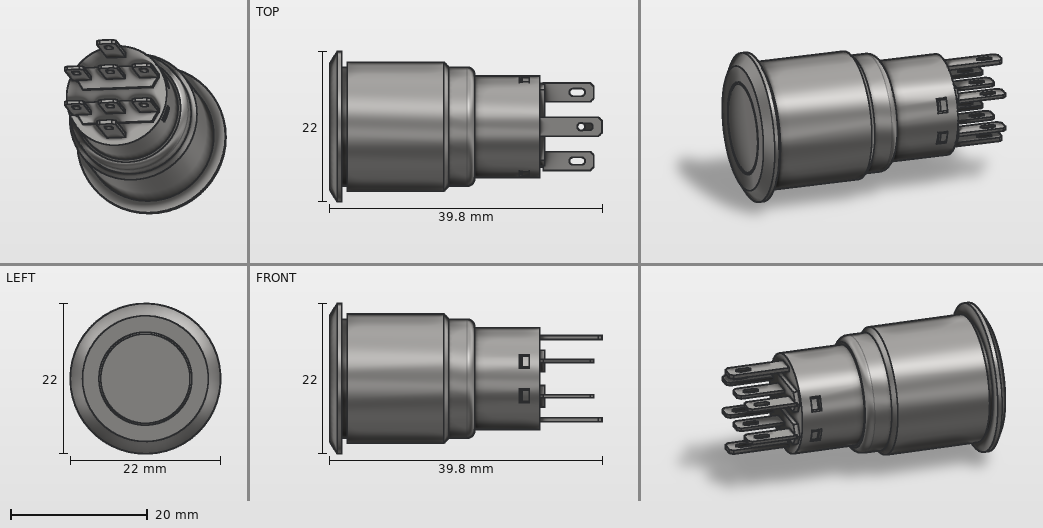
import cadquery as cq
import math

flange_chamfer_length = 1.1
flange_back = 1.8
neck_end = 2.55
body_end = 16.68
taper_end = 17.4
shoulder_end = 21.17
base_end = 30.73
overall_length = 39.8

flange_face_dia = 18.4
flange_dia = 22.0
body_dia = 18.9
shoulder_dia = 17.45
base_dia = 14.9
shoulder_round = 1.2
shoulder_round_start = 20.0

button_hole_dia = 13.6
button_face_dia = 13.05
button_gap_depth = 0.28

window_start = 27.7
window_length = 1.47
window_width = 2.03
window_height = 2.5
window_floor = 5.97
tooth_width = 1.55
tooth_foot = 27.95
tooth_crest = 28.18
tooth_dia = 14.73
tooth_foot_dia = 14.33

bar_end = 31.45
bar_height = 3.2
bar_tip_slope = 30.0
bar_tip_length = bar_height / 2 * math.tan(math.radians(bar_tip_slope))
bar_front_tip = -5.85
bar_back_tip = 6.33

blade_width = 2.8
blade_chamfer = 0.5
slot_length = 2.25
slot_width = 1.07
bar_blade_start = 31.2
bar_blade_end = 38.6
bar_blade_thickness = 0.48
bar_blade_spacing = 5.0
bar_blade_height = 2.6
stem_width = 1.85
center_blade_thickness = 0.6
center_blade_height = 6.0
bar_blade_slot = 36.18
center_slot = 37.35

embed = 0.8


def box(x_start, x_end, width, height, y_center, z_center):
    """Box between two X stations, centred at the given Y and Z."""
    block = cq.Workplane("XY").box(x_end - x_start, width, height, centered=(False, True, True))
    return block.translate((x_start, y_center, z_center))


def turned_body():
    """Flange, neck, body, rounded shoulder and base as one revolved profile."""
    shoulder_radius = shoulder_dia / 2
    arc_center_radius = shoulder_radius - shoulder_round
    arc_angle = math.asin((shoulder_end - shoulder_round_start) / shoulder_round)

    def on_arc(angle):
        """Point of the shoulder rounding, turned by the angle from its start."""
        along = shoulder_round_start + shoulder_round * math.sin(angle)
        return along, arc_center_radius + shoulder_round * math.cos(angle)

    profile = (
        cq.Workplane("XY")
        .lineTo(0, flange_face_dia / 2)
        .lineTo(flange_chamfer_length, flange_dia / 2)
        .lineTo(flange_back, flange_dia / 2)
        .lineTo(flange_back, shoulder_radius)
        .lineTo(neck_end, shoulder_radius)
        .lineTo(neck_end, body_dia / 2)
        .lineTo(body_end, body_dia / 2)
        .lineTo(taper_end, shoulder_radius)
        .lineTo(shoulder_round_start, shoulder_radius)
        .threePointArc(on_arc(arc_angle / 2), on_arc(arc_angle))
        .lineTo(shoulder_end, base_dia / 2)
        .lineTo(base_end, base_dia / 2)
        .lineTo(base_end, 0)
        .close()
    )
    return profile.revolve(360, (0, 0, 0), (1, 0, 0))


def button_gap():
    """Ring with a straight outer wall and a conical inner wall around the button."""
    profile = (
        cq.Workplane("XY")
        .moveTo(0, button_face_dia / 2)
        .lineTo(0, button_hole_dia / 2)
        .lineTo(button_gap_depth, button_hole_dia / 2)
        .close()
    )
    return profile.revolve(360, (0, 0, 0), (1, 0, 0))


def snap_window(side, z_center):
    """Window pocket on the +Y or -Y side, less the snap tooth left standing in it."""
    window_end = window_start + window_length
    pocket_depth = base_dia / 2 - window_floor
    pocket = box(
        window_start, window_end, pocket_depth, window_width,
        window_floor + pocket_depth / 2, z_center,
    )
    tooth_profile = (
        cq.Workplane("XY")
        .moveTo(tooth_foot, 0)
        .lineTo(tooth_foot, tooth_foot_dia / 2)
        .lineTo(tooth_crest, tooth_dia / 2)
        .lineTo(window_end, tooth_dia / 2)
        .lineTo(window_end, 0)
        .close()
    )
    tooth_core = tooth_profile.revolve(360, (0, 0, 0), (1, 0, 0))
    tooth_slab = box(window_start, window_end, base_dia, tooth_width, 0, z_center)
    tooth = tooth_core.intersect(tooth_slab)
    window = pocket.cut(tooth)
    return window if side > 0 else window.mirror("XZ")


def terminal_bar(z_center):
    """Hexagonal bar, pointed at both Y ends, standing on the rear face of the base."""
    half_height = bar_height / 2
    outline = [
        (bar_front_tip, 0),
        (bar_front_tip + bar_tip_length, half_height),
        (bar_back_tip - bar_tip_length, half_height),
        (bar_back_tip, 0),
        (bar_back_tip - bar_tip_length, -half_height),
        (bar_front_tip + bar_tip_length, -half_height),
    ]
    bar = cq.Workplane("YZ").polyline(outline).close().extrude(bar_end - base_end + embed)
    return bar.translate((base_end - embed, 0, z_center))


def blade(x_start, x_end, thickness, slot_center, y_center, z_center):
    """Flat terminal with two chamfered end corners and a wiring slot."""
    plate = box(x_start, x_end, blade_width, thickness, y_center, z_center)
    plate = plate.edges("|Z and >X").chamfer(blade_chamfer)
    slot = (
        cq.Workplane("XY", origin=(slot_center, y_center, z_center))
        .slot2D(slot_length, slot_width)
        .extrude(thickness, both=True)
    )
    return plate.cut(slot)


def bar_terminal(y_center, z_center):
    """Blade joined to the base by a narrower stem."""
    stem = box(
        base_end - embed, bar_blade_start + embed, stem_width, bar_blade_thickness,
        y_center, z_center,
    )
    plate = blade(
        bar_blade_start, bar_blade_end, bar_blade_thickness, bar_blade_slot,
        y_center, z_center,
    )
    return stem.union(plate)


def center_terminal(z_center):
    """Longer blade on the Y centre line, outside the two rows."""
    return blade(
        base_end - embed, overall_length, center_blade_thickness, center_slot, 0, z_center,
    )


result = turned_body().cut(button_gap())

for side in (1, -1):
    for level in (1, -1):
        result = result.cut(snap_window(side, level * window_height))

for level in (1, -1):
    bar_level = level * bar_blade_height
    result = result.union(terminal_bar(bar_level))
    for column in (-1, 0, 1):
        result = result.union(bar_terminal(column * bar_blade_spacing, bar_level))
    result = result.union(center_terminal(level * center_blade_height))